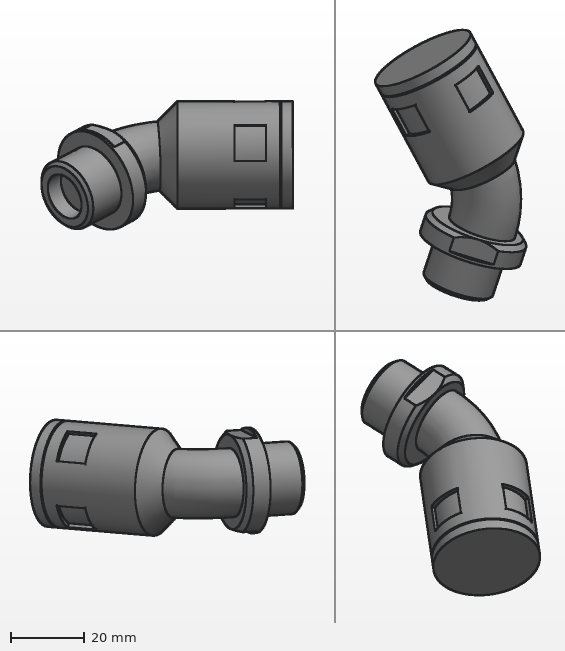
import cadquery as cq
import math


overall_length = 70.05

stub_diameter = 20.0
stub_length = 12.0
stub_chamfer = 1.05
bore_diameter = 13.0
bore_depth = 5.1

collar_diameter = 29.0
collar_thickness = 6.5
collar_chamfer = 1.5
collar_rim = 1.0
flat_distance = collar_diameter / 2 - collar_chamfer

tube_diameter = 19.0
tube_offset = -1.25
bend_radius = 26.55
bend_angle = 45.0

socket_diameter = 29.5
cone_length = 6.65
groove_diameter = 23.4
groove_width = 0.35
end_ring_thickness = 3.15

window_count = 4
window_width = 10.1
window_length = 8.6
window_depth = 1.2
window_end_distance = 7.4

socket_radius = socket_diameter / 2
collar_top = stub_length + collar_thickness
bend_radians = math.radians(bend_angle)
bend_end = (
    tube_offset + bend_radius * (1 - math.cos(bend_radians)),
    collar_top + bend_radius * math.sin(bend_radians),
    0,
)
socket_direction = (math.sin(bend_radians), math.cos(bend_radians), 0)
mouth_centre_y = overall_length - socket_radius * math.sin(bend_radians)
socket_length = (mouth_centre_y - bend_end[1]) / math.cos(bend_radians)


def cylinder_along_y(diameter, start, length):
    """Cylinder on the stub axis, from Y = start towards +Y."""
    plane = cq.Plane(origin=(0, start, 0), xDir=(1, 0, 0), normal=(0, 1, 0))
    return cq.Workplane(plane).circle(diameter / 2).extrude(length)


def make_stub():
    stub = cylinder_along_y(stub_diameter, 0, stub_length)
    return stub.faces("<Y").chamfer(stub_chamfer)


def make_collar():
    collar = cylinder_along_y(collar_diameter, stub_length, collar_thickness)
    collar = collar.faces(">Y").chamfer(collar_chamfer)
    flats_bottom = stub_length + collar_rim
    for side in (1, -1):
        cutter = cq.Workplane("XY").box(
            collar_diameter, collar_thickness, collar_diameter, centered=(True, False, True)
        )
        cutter_z = side * (flat_distance + collar_diameter / 2)
        collar = collar.cut(cutter.translate((0, flats_bottom, cutter_z)))
    return collar


def make_bent_tube():
    plane = cq.Plane(origin=(tube_offset, collar_top, 0), xDir=(1, 0, 0), normal=(0, 1, 0))
    axis_start = (bend_radius, 0)
    axis_end = (bend_radius, 1)
    return cq.Workplane(plane).circle(tube_diameter / 2).revolve(bend_angle, axis_start, axis_end)


def make_window_cutter():
    """Block with parallel sides and a round floor, on the +X side of the socket's own axes."""
    floor_radius = socket_radius - window_depth
    window_start = socket_length - window_end_distance - window_length
    block = cq.Workplane("XY", origin=(0, 0, window_start)).box(
        socket_diameter, window_width, window_length, centered=(False, True, False)
    )
    core = cq.Workplane("XY", origin=(0, 0, window_start)).circle(floor_radius).extrude(window_length)
    return block.cut(core)


def make_socket():
    """Socket along its own Z axis; Z = 0 is where the cone meets the cylinder."""
    ring_start = socket_length - end_ring_thickness
    groove_start = ring_start - groove_width
    groove_radius = groove_diameter / 2
    profile = [
        (0, -cone_length),
        (socket_radius - cone_length, -cone_length),
        (socket_radius, 0),
        (socket_radius, groove_start),
        (groove_radius, groove_start),
        (groove_radius, ring_start),
        (socket_radius, ring_start),
        (socket_radius, socket_length),
        (0, socket_length),
    ]
    socket = cq.Workplane("XZ").polyline(profile).close().revolve(360, (0, 0), (0, 1))
    pitch = 360 / window_count
    for index in range(window_count):
        angle = (index + 0.5) * pitch
        socket = socket.cut(make_window_cutter().rotate((0, 0, 0), (0, 0, 1), angle))
    return socket


def place_socket(socket):
    plane = cq.Plane(origin=bend_end, xDir=(0, 0, 1), normal=socket_direction)
    return cq.Workplane(obj=socket.val().moved(cq.Location(plane)))


result = make_stub().union(make_collar()).union(make_bent_tube()).union(place_socket(make_socket()))
result = result.cut(cylinder_along_y(bore_diameter, 0, bore_depth))